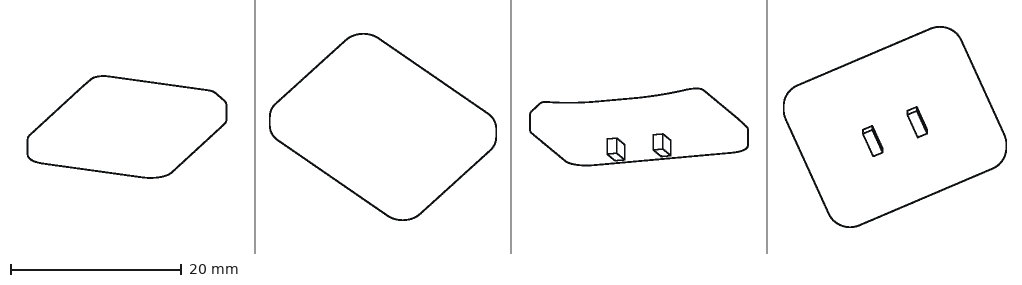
import cadquery as cq
import math

body_size_x = 18.0
body_size_y = 22.5
body_height = 3.5
corner_radius = 2.75
top_chamfer = 1.25
edge_fillet = 0.3

dish_margin = 0.3
dish_arc_radius = 30.0
dish_run = body_size_x / 2 - top_chamfer - dish_margin
dish_floor_half_y = body_size_y / 2 - top_chamfer - dish_margin - dish_run
dish_depth = dish_arc_radius - math.sqrt(dish_arc_radius**2 - dish_run**2)
dish_floor_z = body_height - dish_depth
dish_arc_overrun = 1.2

peg_size_x = 3.0
peg_size_y = 1.2
peg_height = 1.84
peg_spacing = 5.7

selection_gap = 0.05


def make_body():
    block = cq.Workplane("XY").box(body_size_x, body_size_y, body_height, centered=(True, True, False))
    return block.edges("|Z").fillet(corner_radius).faces(">Z").chamfer(top_chamfer)


def dish_arc_point(angle):
    """Point on the dish arc, measured out from and up from where it leaves the floor."""
    across = dish_arc_radius * math.sin(angle)
    rise = dish_arc_radius * (1 - math.cos(angle))
    return across, rise


def cut_dish(body):
    end_angle = dish_arc_overrun * math.asin(dish_run / dish_arc_radius)
    mid_across, mid_rise = dish_arc_point(end_angle / 2)
    end_across, end_rise = dish_arc_point(end_angle)
    floor_y = dish_floor_half_y

    trough = (
        cq.Workplane("YZ", origin=(0, 0, dish_floor_z))
        .moveTo(-floor_y, 0)
        .lineTo(floor_y, 0)
        .threePointArc((floor_y + mid_across, mid_rise), (floor_y + end_across, end_rise))
        .lineTo(-floor_y - end_across, end_rise)
        .threePointArc((-floor_y - mid_across, mid_rise), (-floor_y, 0))
        .close()
        .extrude(body_size_x)
    )

    def end_section():
        """Section of the closed end, rising along the same arc toward -X."""
        return (
            cq.Workplane("XZ", origin=(0, floor_y, dish_floor_z))
            .lineTo(0, end_rise)
            .lineTo(-end_across, end_rise)
            .threePointArc((-mid_across, mid_rise), (0, 0))
            .close()
        )

    closed_end = end_section().extrude(2 * floor_y)
    corner = end_section().revolve(90, (0, 0), (0, -1))
    cutter = trough.union(closed_end).union(corner).union(corner.mirror("XZ"))
    return body.cut(cutter)


def round_edges(body):
    """Round the underside rim, both rims of the top chamfer and the dish rim with its +X opening."""
    half_x = body_size_x / 2
    half_y = body_size_y / 2
    shoulder_z = body_height - top_chamfer
    shoulder_edges = cq.selectors.BoxSelector(
        (-body_size_x, -body_size_y, shoulder_z - selection_gap),
        (body_size_x, body_size_y, shoulder_z + selection_gap),
    )
    opening_region = cq.selectors.BoxSelector(
        (half_x - corner_radius + selection_gap, -half_y, dish_floor_z - selection_gap),
        (half_x, half_y, body_height),
    )
    chamfer_seams = cq.selectors.ParallelDirSelector(cq.Vector(1, 0, -1))
    opening_edges = opening_region - chamfer_seams

    rims = body.faces("<Z or >Z").edges()
    rims = rims.add(body.edges(shoulder_edges)).add(body.edges(opening_edges))
    return rims.fillet(edge_fillet)


def add_pegs(body):
    pegs = (
        cq.Workplane("XY")
        .pushPoints([(0, -peg_spacing / 2), (0, peg_spacing / 2)])
        .rect(peg_size_x, peg_size_y)
        .extrude(-peg_height)
    )
    return body.union(pegs)


result = add_pegs(round_edges(cut_dish(make_body())))